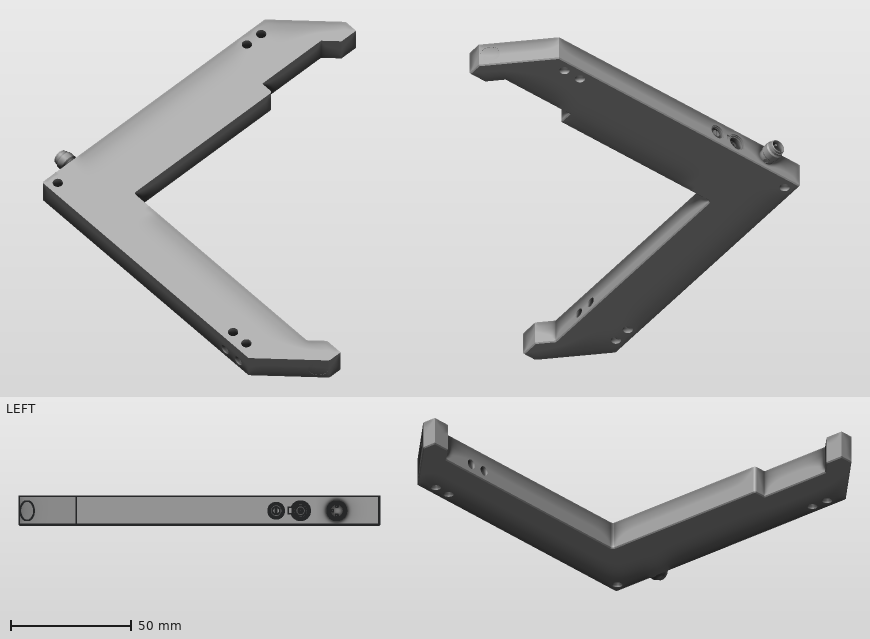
import cadquery as cq
import math

LEG = 150.0
THICKNESS = 12.0
LEG_WIDTH = 24.1
TIP_REACH = 30.1
TIP_END = 6.3
TIP_SIDE = 8.2
BEVEL = TIP_REACH - TIP_END
NOTCH_DEPTH = TIP_REACH - LEG_WIDTH
WIDE_END = 102.4
CORNER_RADIUS = 1.1
EDGE_CHAMFER = 0.5
MID_Z = THICKNESS / 2

HOLE_DIAMETER = 4.3
HOLE_INSET = 4.6
HOLE_POSITIONS = (111.7, 119.8)
CROSS_HOLE_Z = 4.3

LENS_DIAMETER = 8.1
LENS_INSET = 3.3
LENS_RECESS = 0.08

CONNECTOR_Y = 17.9
SOCKET_Y = 33.0
TRIMMER_Y = 43.1


def plate():
    """Two legs with bevelled, hooked tips; the bottom rim and two corners are chamfered."""
    hook_start = LEG - TIP_SIDE - NOTCH_DEPTH
    outline = [
        (0, 0),
        (LEG - BEVEL, 0),
        (LEG, BEVEL),
        (LEG, TIP_REACH),
        (LEG - TIP_SIDE, TIP_REACH),
        (hook_start, LEG_WIDTH),
        (TIP_REACH, LEG_WIDTH),
        (TIP_REACH, WIDE_END),
        (LEG_WIDTH, WIDE_END),
        (LEG_WIDTH, hook_start),
        (TIP_REACH, LEG - TIP_SIDE),
        (TIP_REACH, LEG),
        (BEVEL, LEG),
        (0, LEG - BEVEL),
    ]
    body = cq.Workplane("XY").polyline(outline).close().extrude(THICKNESS)
    for y in (LEG_WIDTH, WIDE_END):
        corner = cq.selectors.NearestToPointSelector((TIP_REACH, y, MID_Z))
        body = body.edges("|Z").edges(corner).fillet(CORNER_RADIUS)
    for x, y in ((0, 0), (LEG, BEVEL)):
        corner = cq.selectors.NearestToPointSelector((x, y, MID_Z))
        body = body.edges("|Z").edges(corner).chamfer(EDGE_CHAMFER)
    return body.faces("<Z").edges().chamfer(EDGE_CHAMFER)


def mounting_holes():
    """Vertical holes in both legs and the corner, and cross holes along Y."""
    places = [(HOLE_INSET, HOLE_INSET)]
    for p in HOLE_POSITIONS:
        places += [(p, HOLE_INSET), (HOLE_INSET, p)]
    vertical = cq.Workplane("XY").pushPoints(places).circle(HOLE_DIAMETER / 2).extrude(THICKNESS)
    cross = (
        cq.Workplane("XZ")
        .pushPoints([(p, CROSS_HOLE_Z) for p in HOLE_POSITIONS])
        .circle(HOLE_DIAMETER / 2)
        .extrude(-LEG_WIDTH)
    )
    return vertical.union(cross)


def lens_recess(x, y, outward):
    """Shallow round recess in a bevelled end; outward is the face normal."""
    face = cq.Plane(origin=(x, y, MID_Z), xDir=(0, 0, 1), normal=outward)
    return cq.Workplane(face).circle(LENS_DIAMETER / 2).extrude(-LENS_RECESS)


def disc(y, diameter, x_start, x_end):
    """Cylinder along X, centred at mid thickness."""
    side = cq.Workplane("YZ", origin=(x_start, y, MID_Z))
    return side.circle(diameter / 2).extrude(x_end - x_start)


def connector(y):
    """Round plug with a chamfered collar, a bore with three pins and three dimples around its neck."""
    tip, tip_step, collar_start, collar_end = -8.5, -7.5, -6.5, -2.4
    tip_chamfer, collar_chamfer = 0.2, 0.6
    neck_diameter = 7.0
    plug = disc(y, 6.3, tip, tip_step).faces("<X").edges().chamfer(tip_chamfer)
    plug = plug.union(disc(y, neck_diameter, tip_step, 0))
    plug = plug.union(disc(y, 8.1, collar_start, collar_end).edges().chamfer(collar_chamfer))

    bore_depth, pin_length = 6.3, 4.8
    bore_floor = tip + bore_depth
    pin_start = bore_floor - pin_length
    pin_diameter, pin_offset = 1.0, 1.9
    plug = plug.cut(disc(y, 5.7, tip, bore_floor))
    for dy, dz in ((pin_offset, 0), (0, pin_offset), (0, -pin_offset)):
        plug = plug.union(disc(y + dy, pin_diameter, pin_start, bore_floor).translate((0, 0, dz)))

    dimple_diameter, dimple_depth = 2.0, 0.3
    dimple_x = collar_end / 2
    dimple_radius = neck_diameter / 2 - dimple_depth
    for angle in (45, 165, 285):
        turn = math.radians(angle)
        outward = cq.Vector(0, math.cos(turn), math.sin(turn))
        floor = cq.Vector(dimple_x, y, MID_Z) + outward * dimple_radius
        plug = plug.cut(cq.Solid.makeCylinder(dimple_diameter / 2, 2 * dimple_depth, floor, outward))
    return plug


def socket_cut(y):
    """Stepped round socket with a hollow centre pin and a square key notch."""
    rim, ledge, floor, centre_depth, pin_start = 0.5, 1.0, 3.2, 3.8, 2.2
    cut = disc(y, 8.0, 0, rim).union(disc(y, 7.1, 0, ledge))
    cut = cut.union(disc(y, 5.9, 0, floor)).union(disc(y, 4.3, 0, centre_depth))
    pin = disc(y, 2.0, pin_start, centre_depth).cut(disc(y, 1.0, pin_start, centre_depth))
    notch_reach, notch_height = 5.2, 2.7
    notch = cq.Workplane("XY").box(rim, notch_reach, notch_height, centered=(False, False, True))
    return cut.cut(pin).union(notch.translate((0, y, MID_Z)))


def trimmer_cut(y):
    """Stepped round recess around a trimmer head with a vertical screwdriver slot."""
    rim, ledge, floor = 0.5, 1.0, 1.9
    head_diameter, slot_width = 3.2, 0.6
    cut = disc(y, 6.7, 0, rim).union(disc(y, 5.9, 0, ledge)).union(disc(y, 5.0, 0, floor))
    slot = cq.Workplane("XY").box(floor, slot_width, head_diameter, centered=(False, True, True))
    head = disc(y, head_diameter, ledge, floor).cut(slot.translate((0, y, MID_Z)))
    return cut.cut(head)


result = plate().cut(mounting_holes())
result = result.cut(lens_recess(LEG - LENS_INSET, BEVEL - LENS_INSET, (1, -1, 0)))
result = result.cut(lens_recess(BEVEL - LENS_INSET, LEG - LENS_INSET, (-1, 1, 0)))
result = result.union(connector(CONNECTOR_Y))
result = result.cut(socket_cut(SOCKET_Y)).cut(trimmer_cut(TRIMMER_Y))